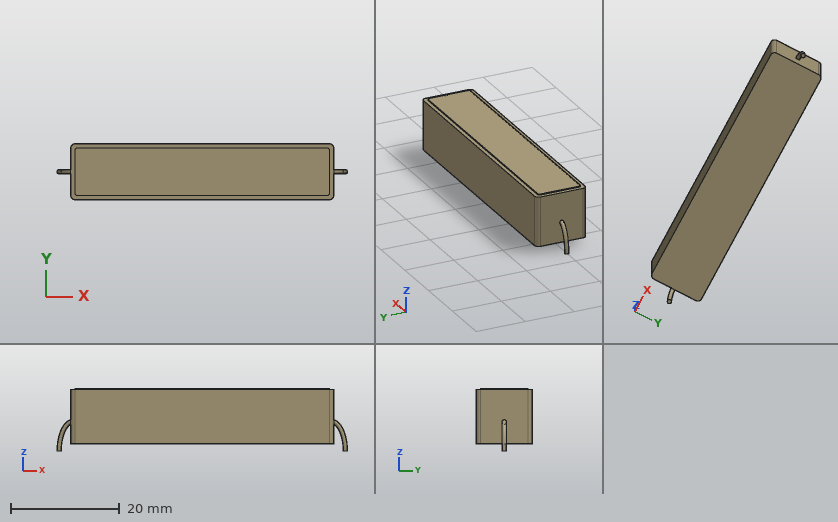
import cadquery as cq
import math

overall_length = 53.35
body_length = 48.3
body_width = 10.3
body_height = 10.0
body_corner_radius = 0.8

wall_thickness = 0.8
filling_rise = 0.2
filling_corner_radius = 0.4

overall_height = 11.54
wire_diameter = 0.8
bend_reach = 2.6
bend_rise = 5.45
lead_embedment = 0.3

tip_x = (overall_length - wire_diameter) / 2
tip_z = body_height + filling_rise - overall_height


def make_body():
    return (
        cq.Workplane("XY")
        .rect(body_length, body_width)
        .extrude(body_height)
        .edges("|Z")
        .fillet(body_corner_radius)
    )


def make_filling():
    return (
        cq.Workplane("XY")
        .workplane(offset=body_height)
        .rect(body_length - 2 * wall_thickness, body_width - 2 * wall_thickness)
        .extrude(filling_rise)
        .edges("|Z")
        .fillet(filling_corner_radius)
    )


def make_lead():
    """Lead at the +X end: wire swept along an elliptical arc from its vertical tip into the body."""
    ellipse_center_x = tip_x - bend_reach
    embedded_x = body_length / 2 - lead_embedment
    end_angle = math.degrees(math.acos((embedded_x - ellipse_center_x) / bend_reach))

    path = (
        cq.Workplane("XZ", origin=(ellipse_center_x, 0, tip_z))
        .ellipseArc(bend_reach, bend_rise, 0, end_angle, startAtCurrent=False)
    )
    return (
        cq.Workplane("XY", origin=(tip_x, 0, tip_z))
        .circle(wire_diameter / 2)
        .sweep(path)
    )


lead = make_lead()
result = make_body().union(make_filling()).union(lead).union(lead.mirror("YZ"))